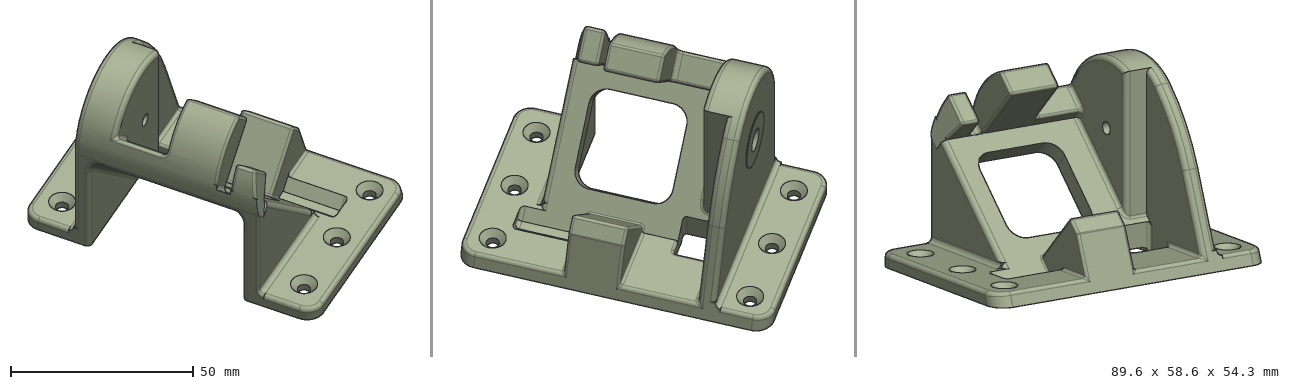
import cadquery as cq
import math

length = 89.59
depth = 58.62
height = 54.3

nose_radius = 20.3
axis_y = nose_radius
axis_z = height - nose_radius
back_radius = 60.0

wall = 5.0
left_face = -29.0
left_inner = left_face + wall
right_face = 27.5
right_inner = right_face - wall
base_thickness = 4.0

slot_half = 10.0
web_underside = 15.0
front_stop_u = -slot_half
tooth_u = 30.5

hook_left = -1.6
hook_right = 14.4
hook_top_v = slot_half
beam_top_v = -6.6
notch_floor_v = -11.2
prong_left = 18.6
prong_top_v = -2.6
prong_tip_x = 24.4

barrel_right = -17.0
barrel_back = 29.7

window_left = -7.6
window_right = 20.4
window_u = (-4.0, 24.0)
window_radius = 5.0
port_left, port_right = left_inner, -12.0
port_front, port_back = 31.2, 40.8
port_radius = 1.0
groove_right = 33.0
groove_depth = 3.0
groove_fillet = 1.2
groove_back = 42.1

screw_x = 36.9
screw_front = 9.1
screw_pitch = 20.5
screws_per_side = 3
hole_diameter = 3.6
sink_diameter = 7.4
cross_sink_diameter = 6.8
pad_radius = 8.0
pad_height = 0.3

rim_fillet = 1.5
base_corner = 5.0
base_edge_fillet = 1.3
cavity_fillet = 2.5
hook_fillet = 0.8
root_fillet = 1.5
foot_fillet = 0.8
barrel_fillet = 1.2
tooth_toe_fillet = 0.5
floor_fillet = 1.0

DIAG = math.sqrt(0.5)
overlap = 2.0

web_sum = axis_y + axis_z - slot_half / DIAG
underside_sum = axis_y + axis_z - web_underside / DIAG


def at(u, v):
    """(y, z) of a point given in the turned frame."""
    return axis_y + (u + v) * DIAG, axis_z + (v - u) * DIAG


def nose_u(v):
    """u of the front of the nose at a given v."""
    return -math.sqrt(nose_radius ** 2 - v ** 2)


def from_z_to_v(y, z):
    """v of a point given by y and z."""
    return (y - axis_y + z - axis_z) * DIAG


def section(x_start):
    return cq.Workplane("YZ", origin=(x_start, 0, 0))


back_start = at(0, nose_radius)
back_center = at(0, nose_radius - back_radius)
to_center_y = depth - back_center[0]
to_center = math.hypot(to_center_y, back_center[1])
back_tilt = math.acos(back_radius / to_center) - math.atan2(back_center[1], to_center_y)
back_end = (
    back_center[0] + back_radius * math.cos(back_tilt),
    back_center[1] + back_radius * math.sin(back_tilt),
)
back_mid_angle = (back_tilt + math.pi / 4) / 2
back_mid = (
    back_center[0] + back_radius * math.cos(back_mid_angle),
    back_center[1] + back_radius * math.sin(back_mid_angle),
)


def back_y(z):
    """y of the sloping back plane at a given z."""
    return depth - z * (depth - back_end[0]) / back_end[1]


def wall_outline(x_start):
    return (
        section(x_start)
        .lineTo(0, axis_z)
        .threePointArc(at(-nose_radius, 0), (axis_y, height))
        .threePointArc(
            (axis_y + nose_radius * math.sin(math.pi / 8), axis_z + nose_radius * math.cos(math.pi / 8)),
            back_start,
        )
        .threePointArc(back_mid, back_end)
        .lineTo(depth, 0)
        .close()
    )


def make_left_wall():
    blank = wall_outline(left_face).extrude(wall)
    rims = blank.faces("<X or >X").edges("not <Z")
    return rims.fillet(rim_fillet)


def make_base():
    blank = (
        section(-length / 2)
        .polyline([(0, 0), (depth, 0), (back_y(base_thickness), base_thickness), (0, base_thickness)])
        .close()
        .extrude(length)
    )
    ends = blank.faces("<X or >X").edges("<Y or >Y")
    return ends.fillet(base_corner).faces(">Z").edges().fillet(base_edge_fillet)


def make_core():
    """Solid block under the slot, later hollowed into the web and right wall."""
    start = left_face + overlap
    slot_toe = (web_sum, 0)
    arc_end = at(nose_u(-slot_half), -slot_half)
    mid_v = from_z_to_v(0, axis_z) / 2 - slot_half / 2
    core = (
        section(start)
        .lineTo(0, axis_z)
        .threePointArc(at(nose_u(mid_v), mid_v), arc_end)
        .lineTo(*slot_toe)
        .close()
        .extrude(right_face - start)
    )
    return core.edges(
        cq.selectors.NearestToPointSelector((right_face, slot_toe[0] / 2, slot_toe[0] / 2))
    ).fillet(rim_fillet)


def front_ridge(x_start, x_end, top_v):
    """Stretch of the round nose in front of the slot, up to top_v."""
    root_v = -nose_radius * DIAG
    mid_v = (root_v + top_v) / 2
    return (
        section(x_start)
        .moveTo(0, axis_z)
        .threePointArc(at(nose_u(mid_v), mid_v), at(nose_u(top_v), top_v))
        .lineTo(*at(front_stop_u, top_v))
        .lineTo(*at(front_stop_u, root_v))
        .close()
        .extrude(x_end - x_start)
    )


def notch_box():
    """Gap between the hook and the prong, across the front nose."""
    far = 2 * nose_radius
    corners = [
        at(-far, notch_floor_v),
        at(front_stop_u, notch_floor_v),
        at(front_stop_u, far),
        at(-far, far),
    ]
    return section(hook_right).polyline(corners).close().extrude(prong_left - hook_right)


def point_uv(x, u, v):
    """Selector of the edge nearest to a point given by x and the turned frame."""
    return cq.selectors.NearestToPointSelector((x, *at(u, v)))


def make_nose():
    """Beam, hook and prong in front of the slot, with rounded edges."""
    beam = front_ridge(left_face + overlap, hook_left, beam_top_v)
    hook = front_ridge(hook_left, hook_right, hook_top_v)
    notch_floor = front_ridge(hook_right, prong_left, notch_floor_v)
    prong = front_ridge(prong_left, right_face, prong_top_v)
    nose = beam.union(hook).union(notch_floor).union(prong).cut(make_lean_cut())

    middle_u = (front_stop_u - nose_radius) / 2
    for x, v in ((hook_left, beam_top_v), (hook_right, notch_floor_v), (prong_left, notch_floor_v)):
        nose = nose.edges(point_uv(x, middle_u, v)).fillet(root_fillet)

    edges = [
        edge
        for edge in nose.edges().vals()
        if from_z_to_v(edge.Center().y, edge.Center().z) > notch_floor_v - 1
        and edge.Center().x > left_face + overlap
    ]
    return nose.newObject(edges).fillet(hook_fillet)


def make_lean_cut():
    """Wedge that leans the right side of the nose inward toward the prong tip."""
    root_v = -nose_radius * DIAG
    slope = (right_face - prong_tip_x) / (prong_top_v - root_v)
    top_v = prong_top_v + overlap
    stop_y, stop_z = at(front_stop_u, 0)
    plane = cq.Plane(origin=(0, stop_y, stop_z), xDir=(1, 0, 0), normal=(0, -DIAG, DIAG))
    return (
        cq.Workplane(plane)
        .polyline([(right_face, root_v), (right_face - slope * (top_v - root_v), top_v), (right_face, top_v)])
        .close()
        .extrude(nose_radius)
    )


def make_barrel():
    """Broad part of the nose beside the left wall."""
    start = left_face + overlap
    back_z = axis_z + math.sqrt(nose_radius ** 2 - (barrel_back - axis_y) ** 2)
    barrel = (
        section(start)
        .lineTo(0, axis_z)
        .threePointArc(at(-nose_radius, 0), (barrel_back, back_z))
        .lineTo(barrel_back, 0)
        .close()
        .extrude(barrel_right - start)
    )
    return barrel.faces(">X").edges("not <Z").fillet(rim_fillet)


def make_tooth():
    """Rear tooth that leans forward over the foot of the web."""
    tip_y, tip_z = at(tooth_u, hook_top_v)
    tip_sum = tip_y + tip_z
    back_slope = (depth - back_end[0]) / back_end[1]
    back_z = (tip_sum - depth) / (1 - back_slope)
    foot_y = tip_y - tip_z
    tooth = (
        section(hook_left)
        .moveTo(foot_y, 0)
        .lineTo(tip_y, tip_z)
        .lineTo(back_y(back_z), back_z)
        .lineTo(depth, 0)
        .close()
        .extrude(hook_right - hook_left)
    )
    return tooth.faces("<X or >X or >(0, 1, 1)").edges("not <Z").fillet(hook_fillet)


def make_cavity():
    """Hollow below the web, open to the front and the bottom."""
    reach = underside_sum
    hollow = (
        section(left_inner)
        .polyline([(0, 0), (reach, 0), (0, reach)])
        .close()
        .extrude(right_inner - left_inner)
    )
    return hollow.faces(">(0, 1, 1)").edges("<X or >X").fillet(cavity_fillet)


def make_window():
    """Rounded window square to the web."""
    middle_u = sum(window_u) / 2
    y, z = at(middle_u, -slot_half)
    plane = cq.Plane(origin=((window_left + window_right) / 2, y, z), xDir=(1, 0, 0), normal=(0, DIAG, DIAG))
    thickness = web_underside - slot_half
    block = (
        cq.Workplane(plane)
        .rect(window_right - window_left, window_u[1] - window_u[0])
        .extrude(-thickness - overlap)
    )
    return block.edges("|(0, 1, 1)").fillet(window_radius)


def make_port():
    """Square opening through the foot of the web beside the left wall."""
    port = cq.Workplane("XY").box(
        port_right - port_left, port_back - port_front, height / 2, centered=False
    )
    return port.edges("|Z").fillet(port_radius).translate((port_left, port_front, 0))


def make_groove():
    """Trough along X at the foot of the web, with 45 degree sides."""
    floor_z = base_thickness - groove_depth
    groove_front = web_sum - floor_z
    rise = groove_depth + overlap
    trough = (
        section(hook_right - overlap)
        .moveTo(groove_front, floor_z)
        .lineTo(groove_back, floor_z)
        .lineTo(groove_back + rise, floor_z + rise)
        .lineTo(groove_front - rise, floor_z + rise)
        .close()
        .extrude(groove_right - hook_right + overlap)
    )
    return trough.faces(">X").edges("not >Z").fillet(groove_fillet)


def countersunk(diameter, sink, plate):
    """Cutter for a screw hole that enters at z = 0 and runs down through a plate."""
    radius = diameter / 2
    sink_radius = sink / 2
    return (
        cq.Workplane("XZ")
        .polyline(
            [
                (0, 0),
                (sink_radius, 0),
                (radius, radius - sink_radius),
                (radius, -plate),
                (0, -plate),
            ]
        )
        .close()
        .revolve(360, (0, 0, 0), (0, 1, 0))
    )


def cut_screw_holes(body):
    cutter = countersunk(hole_diameter, sink_diameter, base_thickness)
    for x in (-screw_x, screw_x):
        for row in range(screws_per_side):
            body = body.cut(cutter.translate((x, screw_front + row * screw_pitch, base_thickness)))
    return body


def add_cross_hole(body):
    """Raised pad on the left wall and the countersunk hole through the nose."""
    pad = section(left_face - pad_height).center(axis_y, axis_z).circle(pad_radius).extrude(pad_height + overlap)
    cutter = (
        countersunk(hole_diameter, cross_sink_diameter, barrel_right - left_face + overlap)
        .rotate((0, 0, 0), (0, 1, 0), -90)
        .translate((left_face - pad_height, axis_y, axis_z))
    )
    return body.union(pad).cut(cutter)


def wall_root(face_x, outward, y_end):
    """Concave strip between the base and the outer face of a side wall."""
    r = root_fillet
    strip = (
        cq.Workplane("XZ", origin=(face_x, 0, base_thickness))
        .moveTo(-outward * r, -r)
        .lineTo(outward * r, -r)
        .lineTo(outward * r, 0)
        .radiusArc((0, r), outward * r)
        .lineTo(-outward * r, r)
        .close()
        .extrude(-y_end)
    )
    return strip


def fillet_near(body, radius, *points):
    """Round the edges that lie nearest to the given points."""
    edges = [body.edges(cq.selectors.NearestToPointSelector(p)).val() for p in points]
    return body.newObject(edges).fillet(radius)


def blend_barrel(body):
    """Concave blends from the barrel to the web and to the beam."""
    foot_x = (left_inner + barrel_right) / 2
    foot_z = web_sum - barrel_back
    beam_u = (front_stop_u - nose_radius) / 2
    return fillet_near(
        body,
        barrel_fillet,
        (barrel_right, *at(0, -slot_half)),
        (foot_x, barrel_back, foot_z),
        (barrel_right, *at(beam_u, beam_top_v)),
    )


def soften(body):
    """Blends between the features and rounded rims of the openings."""
    port_x = (port_left + port_right) / 2
    floor_y = (port_back + depth) / 2
    tooth_x = (hook_left + hook_right) / 2
    tooth_foot = at(tooth_u, -slot_half)
    cavity_z = underside_sum / 2

    body = fillet_near(body, foot_fillet, (hook_left, floor_y, base_thickness), (hook_right, floor_y, base_thickness))
    body = fillet_near(body, tooth_toe_fillet, (tooth_x, *tooth_foot))
    body = fillet_near(body, floor_fillet, (left_inner, floor_y, base_thickness))
    body = fillet_near(body, foot_fillet, (port_x, port_back, base_thickness))
    body = fillet_near(body, rim_fillet, (left_inner, 0, cavity_z), (right_inner, 0, cavity_z))
    return fillet_near(body, foot_fillet, (right_face, 0, cavity_z))


def make_body():
    core = make_core().cut(notch_box()).cut(make_lean_cut())
    body = make_base().union(core).union(make_left_wall()).union(make_barrel()).union(make_nose())
    body = blend_barrel(body).cut(make_groove()).union(make_tooth())
    envelope = wall_outline(-length / 2).extrude(length)
    body = body.union(wall_root(left_face, -1, depth).intersect(envelope))
    body = body.union(wall_root(right_face, 1, web_sum - base_thickness - root_fillet))
    for cutter in (make_cavity(), make_window(), make_port()):
        body = body.cut(cutter)
    return soften(add_cross_hole(cut_screw_holes(body)))


result = make_body()